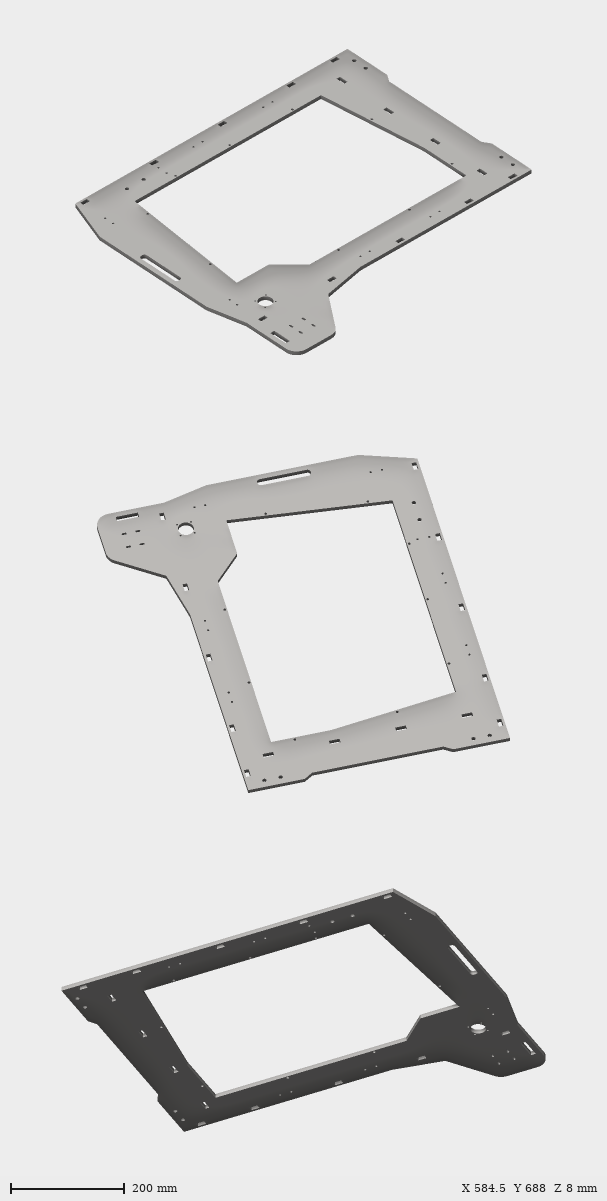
import cadquery as cq
thickness = 8.0
length = 688.0
overall_width = 584.5
frame_width = 475.5
frame_middle = frame_width / 2

top_notch_depth = 10.0
top_notch_half_width = 119.0
top_notch_run = 16.0
left_corner_y = 34.0
bottom_left_x = 99.0
bottom_right_x = 375.0
wing_bottom_start_x = 457.0
wing_bottom_y = 20.0
wing_top_y = 118.0
wing_root_x = 494.0
wing_root_y = 182.0
flare_start_y = 277.0
wing_upper_radius = 25.0
wing_lower_radius = 25.5

rail_width = 66.0
window_left = rail_width
window_right = frame_width - rail_width
window_top = 593.0
window_top_bend_x = 301.0
window_left_top_y = 563.0
window_left_bottom_y = 115.0
window_step_x = 361.0
window_step_top_y = 163.0
window_step_bottom_y = 86.0
window_right_bottom_y = 215.5

edge_slot_width = 8.0
edge_slot_length = 16.0
edge_slot_inset = 8.0
edge_slot_ys = [49.5, 215.5, 380.0, 545.0, 650.5]

top_slot_length = 19.0
top_slot_width = 8.0
top_slot_count = 4
top_slot_pitch = 120.5
top_slot_first_x = 60.0
top_slot_y = 619.5

handle_length = 97.0
handle_width = 14.0
handle_corner_radius = 5.5
handle_y = 17.0

mount_diameter = 7.5
top_mount_insets = [33.0, 62.5]
top_mount_y = 674.0
left_mount_x = 31.0
left_mount_ys = [129.5, 169.0]

screw_diameter = 4.0
side_screw_inset = 22.0
side_screw_ys = [297.5, 319.5, 465.0, 487.5]
left_pair_xs = [24.0, 45.5]
left_pair_y = 211.0
bottom_screw_xs = [67.0, 87.5, 388.0, 407.5]
bottom_screw_y = 43.5

pin_diameter = 5.0
pin_margin = 4.0
left_pin_ys = [217.5, 347.5, 498.5]
right_pin_ys = [281.5, 452.0]
top_pins = [(177.5, 581.5), (367.5, 597.5)]
bottom_pins = [(109.0, 107.0), (290.0, 89.0)]

motor_x = 434.0
motor_y = 87.0
motor_bore = 28.0
motor_screw_pitch = 25.5
motor_screw_diameter = 3.5

bracket_x = 530.0
bracket_y = 86.0
bracket_pitch_x = 25.0
bracket_pitch_y = 30.0
bracket_slot_length = 9.0
bracket_slot_width = 4.0
wing_slot_x = 527.0
wing_slot_y = 35.0
wing_slot_length = 40.0
wing_slot_width = 9.5


def prism(points):
    """Plate-thick prism over a closed polygon."""
    return cq.Workplane("XY").polyline(points).close().extrude(thickness)


def round_holes(points, diameter):
    return cq.Workplane("XY").pushPoints(points).circle(diameter / 2).extrude(thickness)


def rectangular_holes(points, size_x, size_y):
    return cq.Workplane("XY").pushPoints(points).rect(size_x, size_y).extrude(thickness)


def mirrored_points(inset, ys):
    """Points at the same inset from the left and right edges of the frame."""
    return [(x, y) for x in (inset, frame_width - inset) for y in ys]


def plate():
    notch_left = frame_middle - top_notch_half_width
    notch_right = frame_middle + top_notch_half_width
    notch_y = length - top_notch_depth
    blank = prism([
        (0, left_corner_y),
        (0, length),
        (notch_left - top_notch_run, length),
        (notch_left, notch_y),
        (notch_right, notch_y),
        (notch_right + top_notch_run, length),
        (frame_width, length),
        (frame_width, flare_start_y),
        (wing_root_x, wing_root_y),
        (overall_width, wing_top_y),
        (overall_width, wing_bottom_y),
        (wing_bottom_start_x, wing_bottom_y),
        (bottom_right_x, 0),
        (bottom_left_x, 0),
    ])
    blank = blank.faces(">X").edges("|Z and >Y").fillet(wing_upper_radius)
    return blank.faces(">X").edges("|Z and <Y").fillet(wing_lower_radius)


def window():
    return prism([
        (window_left, window_left_bottom_y),
        (window_left, window_left_top_y),
        (window_top_bend_x, window_top),
        (window_right, window_top),
        (window_right, window_right_bottom_y),
        (window_step_x, window_step_top_y),
        (window_step_x, window_step_bottom_y),
    ])


def tab_slots():
    edge_slots = rectangular_holes(
        mirrored_points(edge_slot_inset, edge_slot_ys), edge_slot_width, edge_slot_length
    )
    top_points = [(top_slot_first_x + i * top_slot_pitch, top_slot_y) for i in range(top_slot_count)]
    return edge_slots.union(rectangular_holes(top_points, top_slot_length, top_slot_width))


def handle_slot():
    slot = rectangular_holes([(frame_middle, handle_y)], handle_length, handle_width)
    return slot.edges("|Z").fillet(handle_corner_radius)


def mount_holes():
    points = [(x, top_mount_y) for i in top_mount_insets for x in (i, frame_width - i)]
    points += [(left_mount_x, y) for y in left_mount_ys]
    return round_holes(points, mount_diameter)


def screw_holes():
    points = mirrored_points(side_screw_inset, side_screw_ys)
    points += [(x, left_pair_y) for x in left_pair_xs]
    points += [(x, bottom_screw_y) for x in bottom_screw_xs]
    return round_holes(points, screw_diameter)


def window_pin_holes():
    points = top_pins + bottom_pins
    points += [(window_left - pin_margin, y) for y in left_pin_ys]
    points += [(window_right + pin_margin, y) for y in right_pin_ys]
    return round_holes(points, pin_diameter)


def motor_opening():
    screws = (
        cq.Workplane("XY")
        .center(motor_x, motor_y)
        .rect(motor_screw_pitch, motor_screw_pitch, forConstruction=True)
        .vertices()
        .circle(motor_screw_diameter / 2)
        .extrude(thickness)
    )
    return round_holes([(motor_x, motor_y)], motor_bore).union(screws)


def wing_slots():
    bracket_slots = (
        cq.Workplane("XY")
        .center(bracket_x, bracket_y)
        .rect(bracket_pitch_x, bracket_pitch_y, forConstruction=True)
        .vertices()
        .slot2D(bracket_slot_length, bracket_slot_width)
        .extrude(thickness)
    )
    long_slot = rectangular_holes([(wing_slot_x, wing_slot_y)], wing_slot_length, wing_slot_width)
    return bracket_slots.union(long_slot)


result = (
    plate()
    .cut(window())
    .cut(tab_slots())
    .cut(handle_slot())
    .cut(mount_holes())
    .cut(screw_holes())
    .cut(window_pin_holes())
    .cut(motor_opening())
    .cut(wing_slots())
)